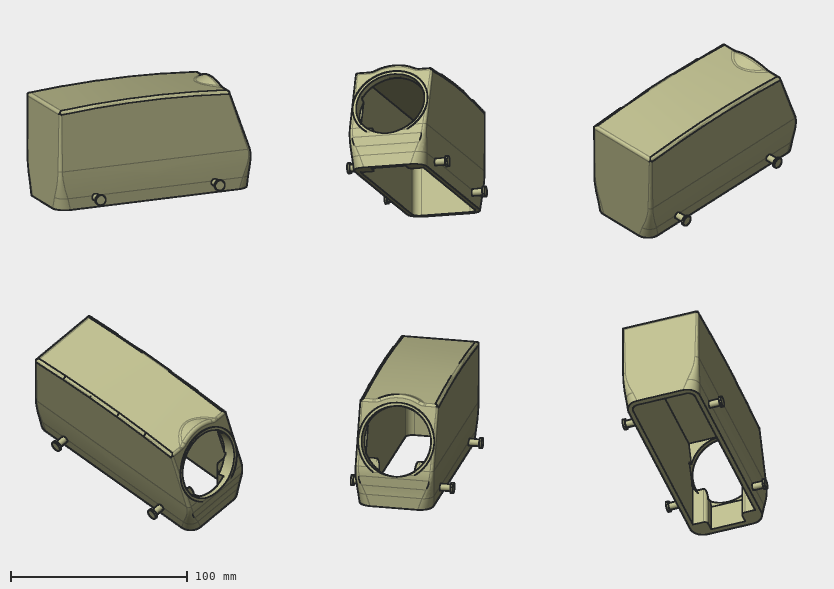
import cadquery as cq
import math

LENGTH = 120.0
BACK_Y = LENGTH / 2
FRONT_Y = -LENGTH / 2
WAIST_Z = 23.5
BAND_Z = 7.2
BAND_SLOPE = 0.085
WAIST_HALF_WIDTH = 22.7
ROOF_EDGE_RADIUS = 1.9
TOP_CORNER_RADIUS = 1.1
WAIST_CORNER_RADIUS = 1.9
BOTTOM_CORNER_RADIUS = 7.7
BAND_CORNER_RADIUS = 5.8
FLARE_POWER = 1.7
FLARE_STEPS = 3

FRONT_TOP_Z = 58.8
FRONT_LEAN = 0.5
ROOF_PEAK_Y = -2.6
ROOF_PEAK_Z = 61.2
SLANT_TOP_Z = 59.0

SLANT_ANGLE = 20.4
SLANT_FOOT_Z = 21.0
SLANT_BEND_RADIUS = 13.2

ENTRY_Z = 38.0
ENTRY_RADIUS = 20.0
ENTRY_DEPTH = 8.4
SEAT_RADIUS = 22.0
SEAT_DEPTH = 0.4
LIP_CENTER_Z = 39.7
LIP_RADIUS = 25.0
LIP_LENGTH = 16.8
LIP_BASE_Z = 54.0
LIP_ROOT_RADIUS = 2.6
LIP_VALLEY_Y = 38.4
EDGE_MARGIN = 1.8

WALL = 3.4
SLANT_WALL = 4.5
CAVITY_HALF_WIDTH = 18.6
CAVITY_CORNER_RADIUS = 4.2
POST_GAP = 20.4
POST_FRONT_Y = 49.5
POST_CORNER_RADIUS = 2.2

PIN_Y = 37.0
PIN_Z = 6.1
PIN_RADIUS = 2.0
PIN_TIP_X = 29.5
PIN_ROOT_X = 19.8
HEAD_RADIUS = 3.0
HEAD_THICKNESS = 1.3

SLANT_TAN = math.tan(math.radians(SLANT_ANGLE))


def slant_y(z):
    """Y of the slanted wall at height z."""
    return BACK_Y - (z - SLANT_FOOT_Z) * SLANT_TAN


def front_y(z):
    """Y of the front wall at height z."""
    return FRONT_Y + FRONT_LEAN * z / FRONT_TOP_Z


def half_width(z):
    """Half width of the body: straight above the waist, an arc down to the band, then a lean."""
    flare_height = WAIST_Z - BAND_Z
    drop = BAND_SLOPE * (WAIST_Z - min(max(z, BAND_Z), WAIST_Z)) ** 2 / (2 * flare_height)
    return WAIST_HALF_WIDTH - drop - BAND_SLOPE * max(BAND_Z - z, 0)


def corner_radius(z):
    """Radius of the upright corners, shrinking from the bottom to the roof."""
    if z < BAND_Z:
        return BOTTOM_CORNER_RADIUS + (BAND_CORNER_RADIUS - BOTTOM_CORNER_RADIUS) * z / BAND_Z
    if z < WAIST_Z:
        drop = (WAIST_Z - z) / (WAIST_Z - BAND_Z)
        return WAIST_CORNER_RADIUS + (BAND_CORNER_RADIUS - WAIST_CORNER_RADIUS) * drop ** FLARE_POWER
    rise = (z - WAIST_Z) / (ROOF_PEAK_Z - WAIST_Z)
    return WAIST_CORNER_RADIUS + (TOP_CORNER_RADIUS - WAIST_CORNER_RADIUS) * rise


def wall_section(z):
    """Rounded rectangle enclosed by the four walls at height z."""
    front = front_y(z)
    back = min(BACK_Y, slant_y(z))
    sketch = cq.Sketch().rect(2 * half_width(z), back - front).vertices().fillet(corner_radius(z))
    return sketch.moved(cq.Location(cq.Vector(0, (back + front) / 2, z)))


def wall_loft(heights):
    return cq.Workplane("XY").placeSketch(*[wall_section(z) for z in heights]).loft()


def along_x(profile, half):
    """Extrude a YZ profile symmetrically about X = 0."""
    return profile.extrude(half, both=True)


def make_walls():
    flare_step = (WAIST_Z - BAND_Z) / FLARE_STEPS
    band = wall_loft([0, BAND_Z])
    flare = wall_loft([BAND_Z + i * flare_step for i in range(FLARE_STEPS + 1)])
    upper = wall_loft([WAIST_Z, LIP_CENTER_Z + LIP_RADIUS])
    return band.union(flare).union(upper)


def slant_cylinder(radius, depth, height):
    """Cylinder sunk square into the slanted wall, centred on it at the given height."""
    angle = math.radians(SLANT_ANGLE)
    inward = cq.Vector(0, -math.cos(angle), -math.sin(angle))
    center = cq.Vector(0, slant_y(height), height)
    return cq.Workplane(cq.Plane(center, (1, 0, 0), inward)).circle(radius).extrude(depth)


def make_lip():
    """Hump that rises through the roof above the cable entry."""
    above_base = cq.Workplane("XY", origin=(0, 0, LIP_BASE_Z)).box(
        2 * LIP_RADIUS, LENGTH, LIP_RADIUS, centered=(True, True, False)
    )
    return slant_cylinder(LIP_RADIUS, LIP_LENGTH, LIP_CENTER_Z).intersect(above_base)


def round_roof(outline):
    """Blend the lip into the roof, then round the roof and lip edges in one chain."""
    valley = cq.selectors.NearestToPointSelector((0, LIP_VALLEY_Y, SLANT_TOP_Z))
    blended = outline.edges(valley).fillet(LIP_ROOT_RADIUS)
    top_edges = edge_box(FRONT_Y, BACK_Y)
    lip_root_edges = edge_box(ROOF_PEAK_Y + EDGE_MARGIN, slant_y(SLANT_TOP_Z) - EDGE_MARGIN)
    return blended.edges(top_edges - lip_root_edges).fillet(ROOF_EDGE_RADIUS)


def edge_box(y_min, y_max):
    """Selects the edges centred above the lip base between two Y limits."""
    low = (-LENGTH, y_min, LIP_BASE_Z)
    high = (LENGTH, y_max, LENGTH)
    return cq.selectors.BoxSelector(low, high)


def make_envelope():
    """Side outline with the rounded roof and the bend between back wall and slant."""
    profile = (
        cq.Workplane("YZ")
        .moveTo(FRONT_Y, 0)
        .lineTo(BACK_Y, 0)
        .lineTo(BACK_Y, SLANT_FOOT_Z)
        .lineTo(slant_y(SLANT_TOP_Z), SLANT_TOP_Z)
        .threePointArc((ROOF_PEAK_Y, ROOF_PEAK_Z), (front_y(FRONT_TOP_Z), FRONT_TOP_Z))
        .close()
    )
    bend = cq.selectors.NearestToPointSelector((0, BACK_Y, SLANT_FOOT_Z))
    outline = along_x(profile, WAIST_HALF_WIDTH).edges(bend).fillet(SLANT_BEND_RADIUS)
    return round_roof(outline.union(make_lip()))


def make_cavity():
    inner_back = BACK_Y - WALL
    slant_offset = SLANT_WALL / math.cos(math.radians(SLANT_ANGLE))
    inner_foot_z = SLANT_FOOT_Z - (slant_offset - WALL) / SLANT_TAN
    inner_top_z = FRONT_TOP_Z - WALL
    profile = (
        cq.Workplane("YZ")
        .moveTo(FRONT_Y + WALL, 0)
        .lineTo(inner_back, 0)
        .lineTo(inner_back, inner_foot_z)
        .lineTo(slant_y(inner_top_z) - slant_offset, inner_top_z)
        .lineTo(FRONT_Y + WALL, inner_top_z)
        .close()
    )
    return along_x(profile, CAVITY_HALF_WIDTH).edges("|Z").fillet(CAVITY_CORNER_RADIUS)


def make_post(side):
    width = WAIST_HALF_WIDTH - POST_GAP / 2
    depth = BACK_Y - POST_FRONT_Y
    center_x = side * (POST_GAP / 2 + width / 2)
    post = cq.Workplane("XY").box(width, depth, ROOF_PEAK_Z, centered=(True, True, False))
    post = post.translate((center_x, POST_FRONT_Y + depth / 2, 0))
    inner_edge = cq.selectors.NearestToPointSelector((side * POST_GAP / 2, POST_FRONT_Y, ROOF_PEAK_Z / 2))
    return post.edges(inner_edge).fillet(POST_CORNER_RADIUS)


def make_pin(side, y):
    root = cq.Workplane("YZ", origin=(side * PIN_ROOT_X, y, PIN_Z))
    shank = root.circle(PIN_RADIUS).extrude(side * (PIN_TIP_X - PIN_ROOT_X))
    tip = cq.Workplane("YZ", origin=(side * PIN_TIP_X, y, PIN_Z))
    return shank.union(tip.circle(HEAD_RADIUS).extrude(-side * HEAD_THICKNESS))


hood = make_walls().intersect(make_envelope())

cavity = make_cavity()
for side in (-1, 1):
    cavity = cavity.cut(make_post(side))

hood = hood.cut(cavity)
hood = hood.cut(slant_cylinder(SEAT_RADIUS, SEAT_DEPTH, ENTRY_Z))
hood = hood.cut(slant_cylinder(ENTRY_RADIUS, ENTRY_DEPTH, ENTRY_Z))

for side in (-1, 1):
    for y in (-PIN_Y, PIN_Y):
        hood = hood.union(make_pin(side, y))

result = hood